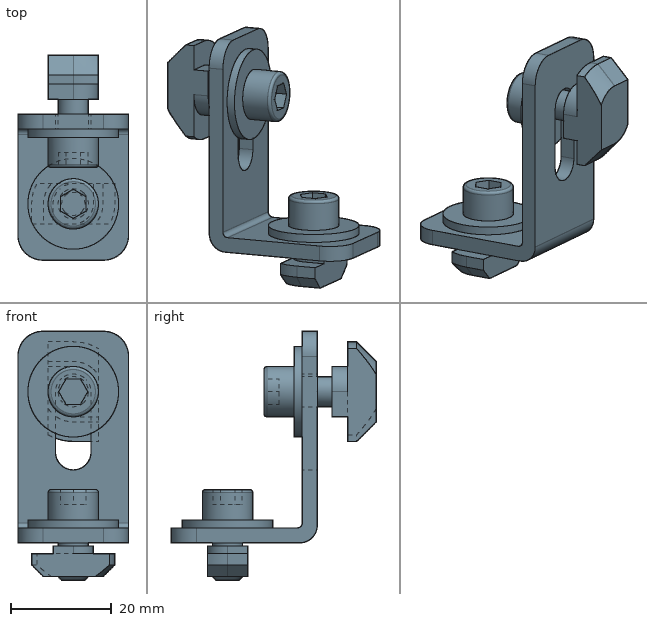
import cadquery as cq

bracket_width = 22.0
bracket_height = 42.0
foot_length = 29.0
sheet_thickness = 3.0
inner_bend_radius = 1.0
outer_bend_radius = 3.5
corner_radius = 5.0

foot_screw_y = -17.8
upright_screw_z = 30.0
slot_width = 7.0
slot_bottom_center_z = 18.0

screw_diameter = 6.0
screw_length = 12.0
screw_tip_chamfer = 0.7
head_diameter = 10.0
head_height = 6.0
head_fillet = 0.6
socket_across_flats = 5.0
socket_sides = 6
socket_depth = 3.0
washer_diameter = 18.0
washer_thickness = 1.6

foot_nut = {
    "length": 16.5,
    "width": 8.0,
    "gap": 0.6,
    "neck_height": 1.5,
    "body_height": 4.6,
    "chamfer": 2.35,
}
upright_nut = {
    "length": 19.8,
    "width": 10.0,
    "gap": 2.9,
    "neck_height": 3.1,
    "body_height": 5.7,
    "chamfer": 3.9,
}


def make_bracket():
    profile = (
        cq.Workplane("YZ")
        .moveTo(-foot_length, 0)
        .lineTo(0, 0)
        .lineTo(0, bracket_height)
        .lineTo(-sheet_thickness, bracket_height)
        .lineTo(-sheet_thickness, sheet_thickness)
        .lineTo(-foot_length, sheet_thickness)
        .close()
    )
    bracket = profile.extrude(bracket_width / 2, both=True)

    inner_bend = cq.NearestToPointSelector((0, -sheet_thickness, sheet_thickness))
    outer_bend = cq.NearestToPointSelector((0, 0, 0))
    bracket = bracket.edges(inner_bend).fillet(inner_bend_radius)
    bracket = bracket.edges(outer_bend).fillet(outer_bend_radius)
    bracket = bracket.faces(">Z").edges("|Y").fillet(corner_radius)
    bracket = bracket.faces("<Y").edges("|Z").fillet(corner_radius)
    return bracket.cut(make_slot())


def make_slot():
    """Round-ended slot through the upright leg, its top end centred on the screw."""
    center_distance = upright_screw_z - slot_bottom_center_z
    slot_center_z = (upright_screw_z + slot_bottom_center_z) / 2
    return (
        cq.Workplane("XZ")
        .center(0, slot_center_z)
        .slot2D(center_distance + slot_width, slot_width, 90)
        .extrude(sheet_thickness)
    )



def make_screw():
    seat_z = sheet_thickness + washer_thickness
    shank = (
        cq.Workplane("XY", origin=(0, 0, seat_z - screw_length))
        .circle(screw_diameter / 2)
        .extrude(screw_length)
        .faces("<Z")
        .chamfer(screw_tip_chamfer)
    )
    head = (
        cq.Workplane("XY", origin=(0, 0, seat_z))
        .circle(head_diameter / 2)
        .extrude(head_height)
        .faces(">Z")
        .edges()
        .fillet(head_fillet)
    )
    socket = (
        cq.Workplane("XY", origin=(0, 0, seat_z + head_height))
        .polygon(socket_sides, socket_across_flats, circumscribed=True)
        .extrude(-socket_depth)
    )
    return shank.union(head).cut(socket)


def make_washer():
    return (
        cq.Workplane("XY", origin=(0, 0, sheet_thickness))
        .circle(washer_diameter / 2)
        .extrude(washer_thickness)
    )


def make_nut(length, width, gap, neck_height, body_height, chamfer):
    """T-nut with two opposite square quadrants and two turned about the screw axis."""
    neck_top = -gap
    body_top = neck_top - neck_height
    body_bottom = body_top - body_height
    half_length = length / 2
    half_width = width / 2

    half_outline = (
        cq.Workplane("XZ")
        .moveTo(0, neck_top)
        .lineTo(half_width, neck_top)
        .lineTo(half_width, body_top)
        .lineTo(half_length, body_top)
        .lineTo(half_length, body_bottom + chamfer)
        .lineTo(half_length - chamfer, body_bottom)
        .lineTo(0, body_bottom)
        .close()
    )
    outline_wire = half_outline.val()

    square_quadrant = cq.Workplane("XZ").add(outline_wire).toPending().extrude(-half_width)

    turned_body = (
        cq.Workplane("XZ").add(outline_wire).toPending().revolve(360, (0, 0, 0), (0, 1, 0))
    )
    turned_zone = cq.Workplane("XY", origin=(0, 0, body_bottom)).box(
        half_length, half_width, neck_top - body_bottom, centered=False
    )
    turned_zone = turned_zone.translate((0, -half_width, 0))
    turned_quadrant = turned_body.intersect(turned_zone)

    half_nut = square_quadrant.union(turned_quadrant)
    other_half = half_nut.rotate((0, 0, 0), (0, 0, 1), 180)
    return half_nut.union(other_half)


def make_fastener(nut_sizes, plane):
    """Screw, washer and T-nut placed so that local Z follows the plane's normal."""
    fastener = make_screw().union(make_washer()).union(make_nut(**nut_sizes))
    return cq.Workplane("XY").add(fastener.val().moved(cq.Location(plane)))


foot_plane = cq.Plane(origin=(0, foot_screw_y, 0), xDir=(1, 0, 0), normal=(0, 0, 1))
upright_plane = cq.Plane(origin=(0, 0, upright_screw_z), xDir=(0, 0, 1), normal=(0, -1, 0))

result = (
    make_bracket()
    .union(make_fastener(foot_nut, foot_plane))
    .union(make_fastener(upright_nut, upright_plane))
)